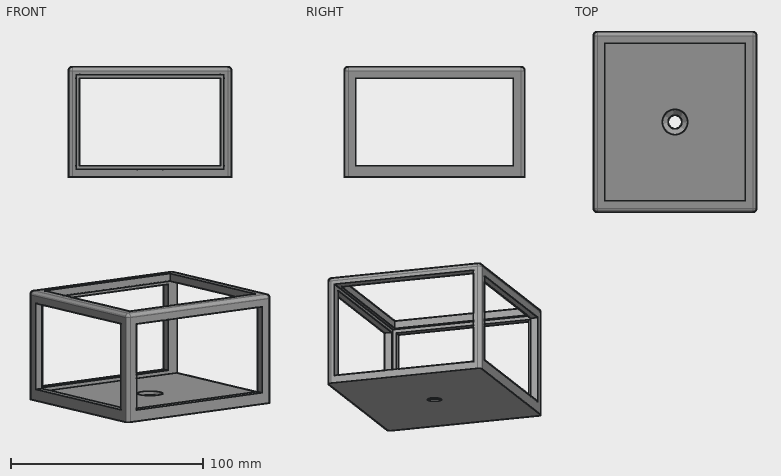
import cadquery as cq

width = 85.0
depth = 94.0
height = 57.5

wall = 4.0
border = 6.0
side_border = 5.8
edge_radius = 2.0

hole_diameter = 7.0
head_diameter = 13.2
head_recess = 2.0


def centred_box(size_x, size_y, size_z, bottom):
    """Box centred on X and Y with its underside at the given height."""
    return cq.Workplane("XY").workplane(offset=bottom).rect(size_x, size_y).extrude(size_z)


body = centred_box(width, depth, height, 0).edges("not <Z").fillet(edge_radius)

cavity = centred_box(width - 2 * wall, depth, height - 2 * wall, wall)
body = body.cut(cavity.translate((0, -wall, 0)))

window_width = width - 2 * side_border
window_depth = depth - 2 * border
window_height = height - 2 * border
side_windows = centred_box(width, window_depth, window_height, border)
back_window = centred_box(window_width, depth, window_height, border)
roof_window = centred_box(window_width, window_depth, height / 2, height / 2)
body = body.cut(side_windows).cut(back_window).cut(roof_window)

cone_top = wall - head_recess
screw_hole = (
    cq.Workplane("XZ")
    .lineTo(hole_diameter / 2, 0)
    .lineTo(head_diameter / 2, cone_top)
    .lineTo(head_diameter / 2, wall)
    .lineTo(0, wall)
    .close()
    .revolve(360, (0, 0, 0), (0, 1, 0))
)
result = body.cut(screw_hole)